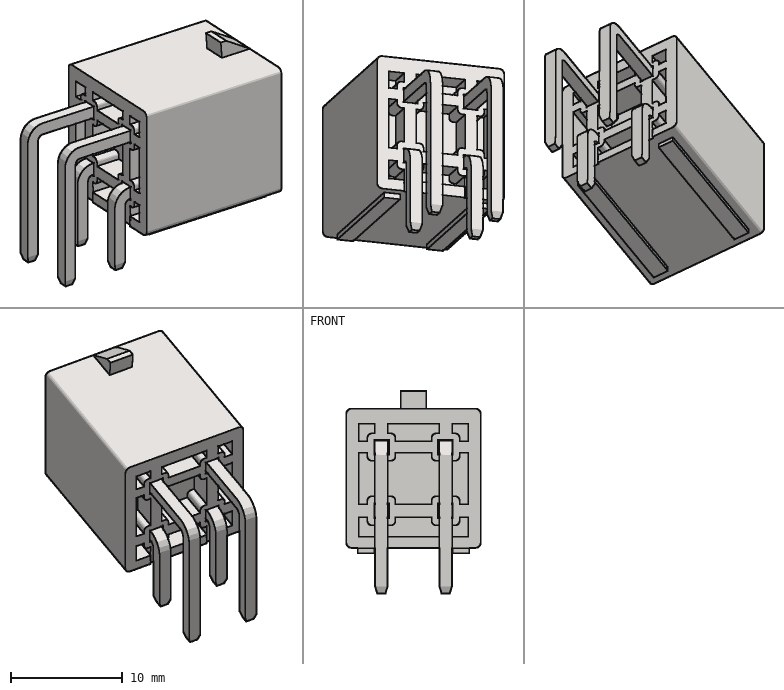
import cadquery as cq


overall_height = 18.13
overall_length = 21.94

body_width = 12.05
body_length = 14.82
body_height = 12.48
body_edge_radius = 0.5

column_x = 5.75 / 2
lower_row_z = 3.33
row_pitch = 5.7
upper_row_z = lower_row_z + row_pitch

pin_size = 1.14
pin_outer_bend_radius = 1.65
pin_inner_bend_radius = pin_outer_bend_radius - pin_size
upper_pin_reach = overall_length - body_length
lower_pin_reach = pin_outer_bend_radius
pin_tip_z = -4.08
pin_tip_length = 0.65
pin_tip_size = 0.74

recess_width = 9.8
recess_bottom_z = 1.02
recess_top_z = 11.1
recess_depth = 2.4
upper_rib_thickness = 1.03
lower_rib_thickness = 1.17
column_rib_width = pin_size
boss_width = 2.5
upper_boss_height = 2.45
lower_boss_height = 2.6
boss_edge_radius = 0.4
rib_setback = 0.16

socket_size = 1.35
socket_shift = 0.03

foot_width = 1.5
foot_height = 0.48
foot_outer_x = 5.0
foot_end_margin = 1.0

latch_width = 2.3
latch_height = overall_height + pin_tip_z - body_height
latch_ramp_length = 2.6
latch_top_length = 3.2
latch_base_length = 3.08


def block(x_range, y_range, z_range):
    """Box spanning the given (low, high) ranges."""
    size = [high - low for low, high in (x_range, y_range, z_range)]
    corner = (x_range[0], y_range[0], z_range[0])
    return cq.Workplane("XY").box(*size, centered=False).translate(corner)


def around(center, size):
    """(low, high) range of the given size about a center."""
    return (center - size / 2, center + size / 2)


def make_housing():
    housing = block(around(0, body_width), (0, body_length), (0, body_height))
    return housing.edges("|Y").fillet(body_edge_radius)


def make_recess():
    """Volume removed from the pin-side face: a pocket less its ribs and bosses."""
    depth = (0, recess_depth)
    recess = block(around(0, recess_width), depth, (recess_bottom_z, recess_top_z))
    for side in (-1, 1):
        column_range = around(side * column_x, column_rib_width)
        recess = recess.cut(block(column_range, depth, (recess_bottom_z, recess_top_z)))
    rows = (
        (lower_row_z, lower_rib_thickness, lower_boss_height),
        (upper_row_z, upper_rib_thickness, upper_boss_height),
    )
    for row_z, rib_thickness, boss_height in rows:
        recess = recess.cut(block(around(0, recess_width), depth, around(row_z, rib_thickness)))
        for side in (-1, 1):
            boss = block(around(side * column_x, boss_width), depth, around(row_z, boss_height))
            recess = recess.cut(boss.edges("|Y").fillet(boss_edge_radius))
    return recess


def make_rib_setback(side):
    """Slot under a lower boss that slopes inwards from the boss to the housing underside."""
    boss_bottom_z = lower_row_z - lower_boss_height / 2
    return (
        cq.Workplane("YZ")
        .moveTo(0, boss_bottom_z)
        .lineTo(rib_setback, 0)
        .lineTo(0, 0)
        .close()
        .extrude(column_rib_width / 2, both=True)
        .translate((side * column_x, 0, 0))
    )


def make_socket(side, row_z):
    socket_x = side * (column_x - socket_shift)
    return block(around(socket_x, socket_size), (0, recess_depth), around(row_z, socket_size))


def make_pin(side, row_z, reach):
    """Square pin from the socket floor, bent downwards, with a tapered tip."""
    top_z = row_z + pin_size / 2
    bottom_z = row_z - pin_size / 2
    taper_z = pin_tip_z + pin_tip_length
    pin = (
        cq.Workplane("YZ")
        .moveTo(recess_depth, top_z)
        .lineTo(pin_outer_bend_radius - reach, top_z)
        .radiusArc((-reach, top_z - pin_outer_bend_radius), -pin_outer_bend_radius)
        .lineTo(-reach, taper_z)
        .lineTo(pin_size - reach, taper_z)
        .lineTo(pin_size - reach, bottom_z - pin_inner_bend_radius)
        .radiusArc((pin_outer_bend_radius - reach, bottom_z), pin_inner_bend_radius)
        .lineTo(recess_depth, bottom_z)
        .close()
        .extrude(pin_size / 2, both=True)
    )
    tip = (
        cq.Workplane("XY", origin=(0, pin_size / 2 - reach, pin_tip_z))
        .rect(pin_tip_size, pin_tip_size)
        .workplane(offset=pin_tip_length)
        .rect(pin_size, pin_size)
        .loft()
    )
    return pin.union(tip).translate((side * column_x, 0, 0))


def make_foot(side):
    foot_x = side * (foot_outer_x - foot_width / 2)
    foot_range = (foot_end_margin, body_length - foot_end_margin)
    return block(around(foot_x, foot_width), foot_range, (-foot_height, 0))


def make_latch():
    """Ramp rising from the mating end to a slightly undercut catch face."""
    latch_top_z = body_height + latch_height
    return (
        cq.Workplane("YZ")
        .moveTo(body_length, body_height)
        .lineTo(body_length - latch_ramp_length, latch_top_z)
        .lineTo(body_length - latch_top_length, latch_top_z)
        .lineTo(body_length - latch_base_length, body_height)
        .close()
        .extrude(latch_width / 2, both=True)
    )


result = make_housing().cut(make_recess()).union(make_latch())
for side in (-1, 1):
    result = result.cut(make_rib_setback(side)).union(make_foot(side))
    for row_z, reach in ((lower_row_z, lower_pin_reach), (upper_row_z, upper_pin_reach)):
        result = result.cut(make_socket(side, row_z)).union(make_pin(side, row_z, reach))